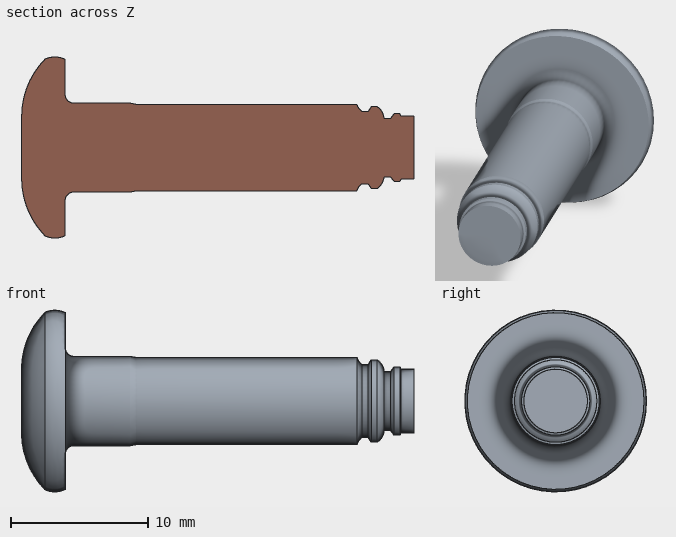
import cadquery as cq
import math

total_length = 28.65

face_radius = 2.38
dome_end_x = 1.72
dome_end_radius = 6.47
dome_bulge = 0.43
head_thickness = 3.2
head_diameter = 13.26
rim_back_radius = 6.45

shoulder_radius = 3.27
neck_fillet = 0.6
shoulder_end_x = 7.95
shank_start_x = 8.37
shank_radius = 3.18
shank_end_x = 24.5

first_groove_radius = 2.66
first_groove_start_x = 24.85
first_groove_hollow = 0.05
first_groove_end_x = 25.3
large_ring_radius = 3.0
large_ring_start_x = 25.53
large_ring_end_x = 25.95
large_ring_bulge = 0.11

second_groove_radius = 2.15
second_groove_start_x = 26.47
second_groove_end_x = 26.93
small_ring_radius = 2.5
small_ring_start_x = 27.2
small_ring_end_x = 27.62

tip_start_x = 27.7
tip_radius = 2.32


def draw_head(profile):
    """Draw the flat face, dome, rounded rim and fillet under the head."""
    fillet_offset = neck_fillet * (1 - math.sqrt(0.5))
    return (
        profile.lineTo(0, face_radius)
        .sagittaArc((dome_end_x, dome_end_radius), dome_bulge)
        .threePointArc(
            ((dome_end_x + head_thickness) / 2, head_diameter / 2),
            (head_thickness, rim_back_radius),
        )
        .lineTo(head_thickness, shoulder_radius + neck_fillet)
        .threePointArc(
            (head_thickness + fillet_offset, shoulder_radius + fillet_offset),
            (head_thickness + neck_fillet, shoulder_radius),
        )
    )


def draw_shank(profile):
    """Draw the shoulder, its taper and the long shank."""
    return (
        profile.lineTo(shoulder_end_x, shoulder_radius)
        .lineTo(shank_start_x, shank_radius)
        .lineTo(shank_end_x, shank_radius)
    )


def draw_grooved_end(profile):
    """Draw both grooves, both rings and the tip."""
    return (
        profile.sagittaArc((first_groove_start_x, first_groove_radius), -first_groove_hollow)
        .lineTo(first_groove_end_x, first_groove_radius)
        .lineTo(large_ring_start_x, large_ring_radius)
        .lineTo(large_ring_end_x, large_ring_radius)
        .sagittaArc((second_groove_start_x, second_groove_radius), large_ring_bulge)
        .lineTo(second_groove_end_x, second_groove_radius)
        .lineTo(small_ring_start_x, small_ring_radius)
        .lineTo(small_ring_end_x, small_ring_radius)
        .lineTo(tip_start_x, tip_radius)
        .lineTo(total_length, tip_radius)
        .lineTo(total_length, 0)
    )


half_profile = cq.Workplane("XY").moveTo(0, 0)
half_profile = draw_head(half_profile)
half_profile = draw_shank(half_profile)
half_profile = draw_grooved_end(half_profile)
result = half_profile.close().revolve(360, (0, 0, 0), (1, 0, 0))